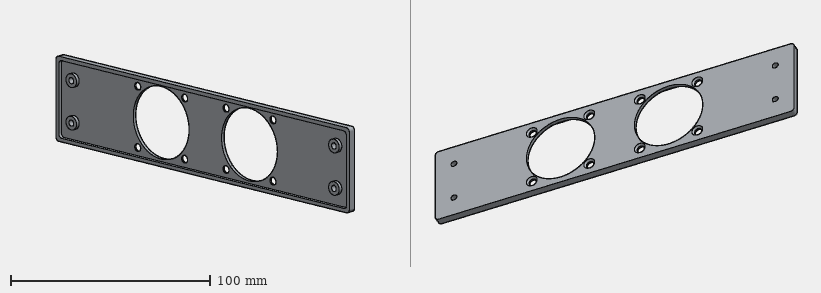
import cadquery as cq

length = 199.6
thickness = 4.0
height = 44.5
corner_radius = 2.0

rim_width = 2.0
recess_depth = 2.0
recess_corner_radius = 2.0

opening_diameter = 38.0
opening_spacing = 60.0
screw_hole_diameter = 4.0
screw_hole_spacing = 32.0
screw_hole_chamfer = 1.0

boss_diameter = 7.2
boss_hole_diameter = 3.2
boss_spacing_x = 178.6
boss_spacing_z = 22.2
boss_height = recess_depth


def rounded_slab(size_x, size_z, depth, radius):
    """Slab with rounded corners, reaching from the front plane Y = 0 to Y = depth."""
    slab = cq.Workplane("XZ").rect(size_x, size_z).extrude(-depth)
    return slab.edges("|Y").fillet(radius)


def cylinders(points, diameter, start, depth):
    """Cylinders along +Y from Y = start at the given (X, Z) points."""
    plane = cq.Workplane("XZ", origin=(0, start, 0))
    return plane.pushPoints(points).circle(diameter / 2).extrude(-depth)


def countersinks(points):
    """Cones widening the screw holes toward the +Y face."""
    mouth_radius = screw_hole_diameter / 2 + screw_hole_chamfer
    plane = cq.Workplane("XZ", origin=(0, thickness, 0))
    return plane.pushPoints(points).circle(mouth_radius).extrude(screw_hole_chamfer, taper=45)


def rectangle_points(spacing_x, spacing_z, center_x=0.0):
    """Corners of a rectangle centered on (center_x, 0)."""
    return [
        (center_x + side_x * spacing_x / 2, side_z * spacing_z / 2)
        for side_x in (-1, 1)
        for side_z in (-1, 1)
    ]


plate = rounded_slab(length, height, thickness, corner_radius)
recess = rounded_slab(
    length - 2 * rim_width, height - 2 * rim_width, recess_depth, recess_corner_radius
)
result = plate.cut(recess)

boss_points = rectangle_points(boss_spacing_x, boss_spacing_z)
boss_start = recess_depth - boss_height
result = result.union(cylinders(boss_points, boss_diameter, boss_start, boss_height))
result = result.cut(cylinders(boss_points, boss_hole_diameter, 0, thickness))

for opening_x in (-opening_spacing / 2, opening_spacing / 2):
    screw_points = rectangle_points(screw_hole_spacing, screw_hole_spacing, opening_x)
    result = result.cut(cylinders([(opening_x, 0)], opening_diameter, 0, thickness))
    screw_holes = cylinders(screw_points, screw_hole_diameter, 0, thickness)
    result = result.cut(screw_holes).cut(countersinks(screw_points))